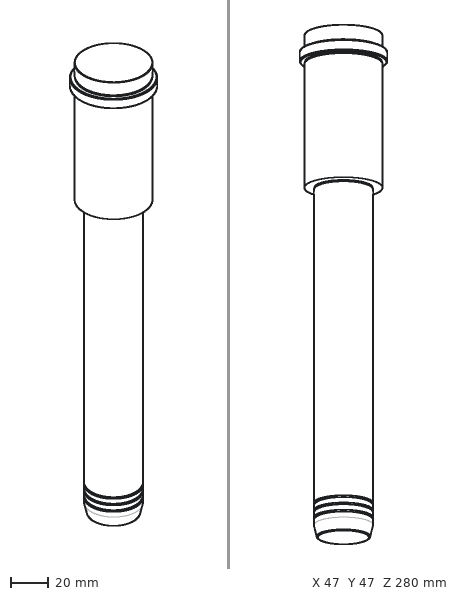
import cadquery as cq

total_length = 280.0
barrel_length = 85.0
collar_setback = 9.0
collar_width = 6.2
tip_length = 7.0

collar_diameter = 47.0
barrel_diameter = 42.0
rod_diameter = 32.0
tip_diameter = 28.5

collar_edge = 0.5
barrel_edge = 0.3
tip_edge = 0.5

groove_count = 3
groove_width = 1.0
land_width = 3 * groove_width
groove_depth = 0.3

relief_width = 0.8
relief_depth = 0.3

barrel_bottom = total_length - barrel_length
collar_top = total_length - collar_setback
collar_bottom = collar_top - collar_width


def cylinder(diameter, bottom, length):
    """Round solid on the Z axis standing on the given height."""
    return cq.Workplane("XY").workplane(offset=bottom).circle(diameter / 2).extrude(length)


def groove(diameter, bottom, width, depth):
    """Ring to cut from a shaft of the given diameter."""
    core = cylinder(diameter - 2 * depth, bottom, width)
    return cylinder(diameter + 2 * depth, bottom, width).cut(core)


def nose():
    """Tapered lower end of the rod with a broken bottom edge."""
    taper = (
        cq.Workplane("XY")
        .circle(tip_diameter / 2)
        .workplane(offset=tip_length)
        .circle(rod_diameter / 2)
        .loft()
    )
    return taper.faces("<Z").edges().chamfer(tip_edge)


def rod():
    """Long shaft with its nose, the grooves above it and the relief below the barrel."""
    body = nose().union(cylinder(rod_diameter, tip_length, barrel_bottom - tip_length))
    for index in range(groove_count):
        bottom = tip_length + land_width + index * (land_width + groove_width)
        body = body.cut(groove(rod_diameter, bottom, groove_width, groove_depth))
    return body.cut(groove(rod_diameter, barrel_bottom - relief_width, relief_width, relief_depth))


def barrel():
    """Thick upper section with a relief on each side of the collar."""
    body = cylinder(barrel_diameter, barrel_bottom, barrel_length).edges(">Z").chamfer(barrel_edge)
    for bottom in (collar_top, collar_bottom - relief_width):
        body = body.cut(groove(barrel_diameter, bottom, relief_width, relief_depth))
    return body


def collar():
    """Flange near the top of the barrel with chamfered rims."""
    return cylinder(collar_diameter, collar_bottom, collar_width).edges().chamfer(collar_edge)


result = rod().union(barrel()).union(collar())